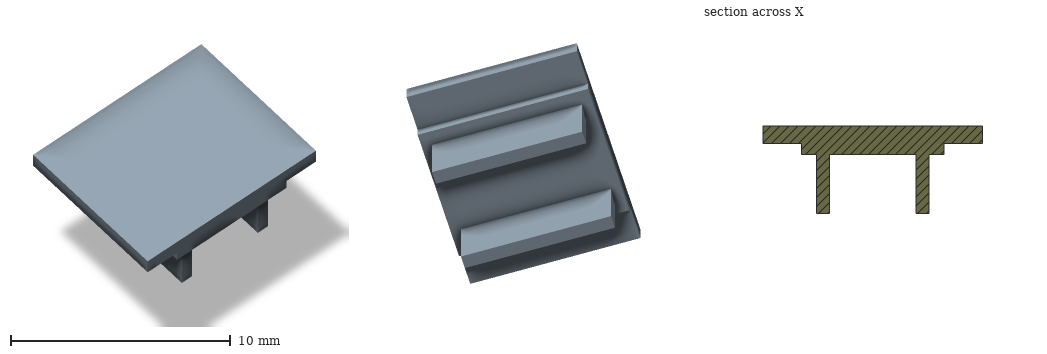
import cadquery as cq

plate_width = 8.1
plate_length = 10.0
plate_thickness = 0.8

pad_length = 6.5
pad_thickness = 0.5

leg_width = 7.14
leg_thickness = 0.62
leg_height = 2.7
leg_spacing = 4.52

pad_bottom = leg_height
plate_bottom = pad_bottom + pad_thickness


def block(width, length, height, bottom, y_center=0):
    """Rectangular block centred on X, standing on the given height."""
    return (
        cq.Workplane("XY", origin=(0, y_center, bottom))
        .box(width, length, height, centered=(True, True, False))
    )


plate = block(plate_width, plate_length, plate_thickness, plate_bottom)
pad = block(plate_width, pad_length, pad_thickness, pad_bottom)

result = plate.union(pad)
for side in (-1, 1):
    leg_y = side * leg_spacing / 2
    result = result.union(block(leg_width, leg_thickness, leg_height, 0, leg_y))